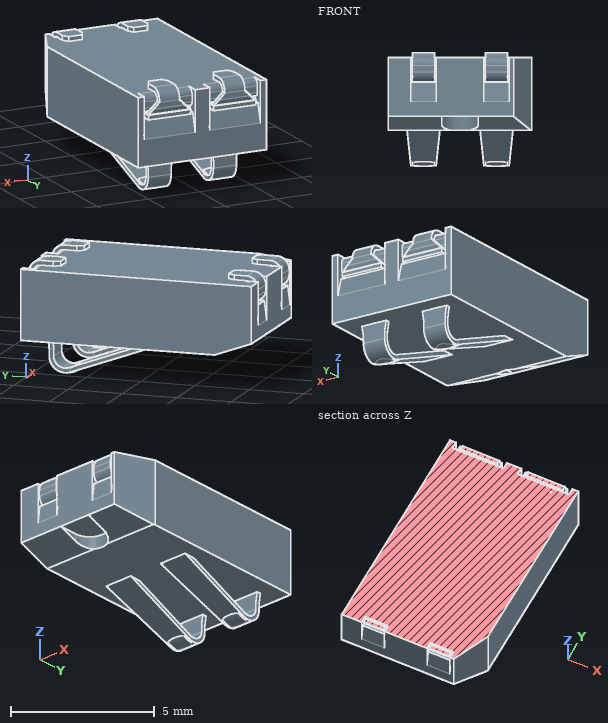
import cadquery as cq
import math

WIDTH = 5.0
LENGTH = 8.48
HEIGHT = 2.54
CORNER_X = 0.64
CORNER_Y = 1.41
LEAD_IN_Y = 1.35
LEAD_IN_Z = 0.49
POLE_OFFSET = 1.27

NOTCH_RADIUS = 0.645
NOTCH_CENTRE_Y = 0.78

SHEET = 0.17
TAB_WIDTH = 0.78
TAB_TIP_WIDTH = 0.53
TAB_LENGTH = 1.15
TAB_TAPER = 0.24
TAB_SETBACK = 0.02
UPPER_BEND = 0.44
LOWER_BEND = 0.37
TAB_STRAIGHT = 0.22
TAB_ROOT = 0.17
WING_HALF_WIDTH = 0.82

TAB_TOP_Z = HEIGHT + SHEET
UPPER_BEND_Z = TAB_TOP_Z - UPPER_BEND
LOWER_BEND_Z = UPPER_BEND_Z - TAB_STRAIGHT
LOWER_TAB_Z = LOWER_BEND_Z - LOWER_BEND

FRONT_RECESS_WIDTH = 0.88
BACK_RECESS_WIDTH = 1.98
RECESS_BOTTOM_Z = 1.01
FRONT_LEDGE_Y = 0.085
BACK_LEDGE_Y = 0.19
RECESS_WALL_Y = 0.24
RECESS_TOP_ROUND = 0.25
RECESS_LOW_ROUND = 0.17

SPRING_ANGLE = math.radians(20.4)
SPRING_BACK_Y = 7.7
SPRING_BEND = 0.585
SPRING_BEND_Z = -0.645
SPRING_BEND_Y = SPRING_BACK_Y - SPRING_BEND
SPRING_ROOT_Z = 0.085
SPRING_HALF_WIDTH = 0.45
SPRING_WIDE_HALF = 0.585
LEG_WIDE_HALF = 0.51
LEG_TAPER_Z = -0.38

CROWN_SAG = 0.025
CROWN_HALF_WIDTH = 0.38
CROWN_SHIFT = 0.07
CROWN_FRONT_ANGLE = 50
CROWN_BACK_ANGLE = 40


def yz_plane():
    """Mid plane facing +X whose local axes are Y and Z."""
    return cq.Workplane("YZ")


def extrude_across(profile, half_width):
    """Extrude a Y-Z profile both ways along X."""
    return profile.extrude(half_width, both=True)


def flip_to_back(shape):
    """Mirror a front-end shape to the back end."""
    return shape.mirror("XZ", (0, LENGTH / 2, 0))


def at_poles(shape):
    """Copies of a centred shape at both contacts."""
    return [shape.translate((x, 0, 0)) for x in (-POLE_OFFSET, POLE_OFFSET)]


def make_housing():
    side = yz_plane().polyline([
        (LEAD_IN_Y, 0), (LENGTH, 0), (LENGTH, HEIGHT), (0, HEIGHT), (0, LEAD_IN_Z),
    ]).close()
    corner = cq.Workplane("XY").polyline([
        (WIDTH / 2 - CORNER_X, 0), (WIDTH / 2, 0), (WIDTH / 2, CORNER_Y),
    ]).close().extrude(HEIGHT)
    notch = (
        cq.Workplane("XY")
        .moveTo(-NOTCH_RADIUS, 0)
        .lineTo(NOTCH_RADIUS, 0)
        .lineTo(NOTCH_RADIUS, NOTCH_CENTRE_Y)
        .threePointArc((0, NOTCH_CENTRE_Y + NOTCH_RADIUS), (-NOTCH_RADIUS, NOTCH_CENTRE_Y))
        .close()
        .extrude(LEAD_IN_Z)
    )
    return extrude_across(side, WIDTH / 2).cut(corner).cut(notch)


def make_recess(width, ledge_y):
    """Front-end recess: sloped bottom, curled pocket, then a wall rounded over into the top."""
    pocket_y = RECESS_WALL_Y + RECESS_LOW_ROUND
    pocket_z = LOWER_BEND_Z - RECESS_LOW_ROUND
    pocket_radius = pocket_z - LOWER_TAB_Z
    profile = (
        yz_plane()
        .moveTo(0, RECESS_BOTTOM_Z)
        .lineTo(ledge_y, LOWER_TAB_Z)
        .lineTo(pocket_y - pocket_radius, LOWER_TAB_Z)
        .radiusArc((pocket_y, pocket_z), -pocket_radius)
        .radiusArc((RECESS_WALL_Y, LOWER_BEND_Z), RECESS_LOW_ROUND)
        .lineTo(RECESS_WALL_Y, HEIGHT - RECESS_TOP_ROUND)
        .radiusArc((RECESS_WALL_Y + RECESS_TOP_ROUND, HEIGHT), RECESS_TOP_ROUND)
        .lineTo(0, HEIGHT)
        .close()
    )
    return extrude_across(profile, width / 2)


def make_tab_sheet():
    """Bent sheet of a front tab, as wide as the wings."""
    upper_y = TAB_SETBACK + UPPER_BEND
    lower_y = TAB_SETBACK + LOWER_BEND
    inner_y = TAB_SETBACK + SHEET
    root_y = lower_y + TAB_ROOT
    profile = (
        yz_plane()
        .moveTo(TAB_LENGTH, TAB_TOP_Z)
        .lineTo(upper_y, TAB_TOP_Z)
        .radiusArc((TAB_SETBACK, UPPER_BEND_Z), -UPPER_BEND)
        .lineTo(TAB_SETBACK, LOWER_BEND_Z)
        .radiusArc((lower_y, LOWER_TAB_Z), -LOWER_BEND)
        .lineTo(root_y, LOWER_TAB_Z)
        .lineTo(root_y, LOWER_TAB_Z + SHEET)
        .lineTo(lower_y, LOWER_TAB_Z + SHEET)
        .radiusArc((inner_y, LOWER_BEND_Z), LOWER_BEND - SHEET)
        .lineTo(inner_y, UPPER_BEND_Z)
        .radiusArc((upper_y, HEIGHT), UPPER_BEND - SHEET)
        .lineTo(TAB_LENGTH, HEIGHT)
        .close()
    )
    return extrude_across(profile, WING_HALF_WIDTH)


def make_tab(winged):
    """Front tab with a tapered tip; a winged tab widens at 45 degrees down to a flat shoulder."""
    half, tip = TAB_WIDTH / 2, TAB_TIP_WIDTH / 2
    taper_y = TAB_LENGTH - TAB_TAPER
    plan = cq.Workplane("XY").polyline([
        (-half, 0), (half, 0), (half, taper_y), (tip, TAB_LENGTH), (-tip, TAB_LENGTH), (-half, taper_y),
    ]).close().extrude(TAB_TOP_Z)
    sheet = make_tab_sheet()
    tab = sheet.intersect(plan)
    if winged:
        wing_z = UPPER_BEND_Z - (WING_HALF_WIDTH - half)
        wings = cq.Workplane("XZ").polyline([
            (-half, UPPER_BEND_Z), (half, UPPER_BEND_Z),
            (WING_HALF_WIDTH, wing_z), (WING_HALF_WIDTH, LOWER_TAB_Z),
            (-WING_HALF_WIDTH, LOWER_TAB_Z), (-WING_HALF_WIDTH, wing_z),
        ]).close().extrude(-TAB_LENGTH)
        shoulder = cq.Workplane("XY").box(
            2 * WING_HALF_WIDTH, LOWER_BEND + TAB_ROOT, SHEET, centered=(True, False, False)
        ).translate((0, TAB_SETBACK, LOWER_TAB_Z))
        tab = tab.union(sheet.intersect(wings)).union(shoulder)
    return tab


def bend_point(radius, angle):
    """Point round the spring bend axis; angle is from straight down towards the front."""
    return (SPRING_BEND_Y - radius * math.sin(angle), SPRING_BEND_Z - radius * math.cos(angle))


def arm_y(radius, z):
    """Y at height z on the sloping arm face that leaves the bend at this radius."""
    tangent_y, tangent_z = bend_point(radius, SPRING_ANGLE)
    return tangent_y - (z - tangent_z) / math.tan(SPRING_ANGLE)


def make_crown(face_radius):
    """Band whose barrelled outer face rises out of a bend of the given radius."""
    base = face_radius - SHEET / 2
    profile = (
        cq.Workplane("XY")
        .moveTo(-CROWN_HALF_WIDTH, -base)
        .lineTo(-CROWN_HALF_WIDTH, -face_radius)
        .threePointArc((0, -face_radius - CROWN_SAG), (CROWN_HALF_WIDTH, -face_radius))
        .lineTo(CROWN_HALF_WIDTH, -base)
        .close()
    )
    band = profile.revolve(CROWN_FRONT_ANGLE + CROWN_BACK_ANGLE, (0, 0, 0), (1, 0, 0))
    band = band.rotate((0, 0, 0), (1, 0, 0), 90 - CROWN_FRONT_ANGLE)
    return band.translate((0, SPRING_BEND_Y - CROWN_SHIFT, SPRING_BEND_Z))


def make_spring():
    inner = SPRING_BEND - SHEET
    mid_angle = (SPRING_ANGLE - math.pi / 2) / 2
    profile = (
        yz_plane()
        .moveTo(SPRING_BACK_Y, SPRING_ROOT_Z)
        .lineTo(SPRING_BACK_Y, SPRING_BEND_Z)
        .threePointArc(bend_point(SPRING_BEND, mid_angle), bend_point(SPRING_BEND, SPRING_ANGLE))
        .lineTo(arm_y(SPRING_BEND, SPRING_ROOT_Z), SPRING_ROOT_Z)
        .lineTo(arm_y(inner, SPRING_ROOT_Z), SPRING_ROOT_Z)
        .lineTo(*bend_point(inner, SPRING_ANGLE))
        .threePointArc(bend_point(inner, mid_angle), (SPRING_BACK_Y - SHEET, SPRING_BEND_Z))
        .lineTo(SPRING_BACK_Y - SHEET, SPRING_ROOT_Z)
        .close()
    )
    sheet = extrude_across(profile, SPRING_WIDE_HALF)

    arm_front_y = arm_y(SPRING_BEND, SPRING_ROOT_Z)
    arm_end_y = bend_point(SPRING_BEND, SPRING_ANGLE)[0]
    plan = cq.Workplane("XY", origin=(0, 0, SPRING_BEND_Z - SPRING_BEND)).polyline([
        (-SPRING_WIDE_HALF, arm_front_y), (SPRING_WIDE_HALF, arm_front_y),
        (SPRING_HALF_WIDTH, arm_end_y), (LEG_WIDE_HALF, arm_end_y), (LEG_WIDE_HALF, SPRING_BACK_Y),
        (-LEG_WIDE_HALF, SPRING_BACK_Y), (-LEG_WIDE_HALF, arm_end_y), (-SPRING_HALF_WIDTH, arm_end_y),
    ]).close().extrude(SPRING_BEND - SPRING_BEND_Z + SPRING_ROOT_Z)

    trim = cq.Workplane("XZ", origin=(0, arm_end_y, 0)).polyline([
        (SPRING_HALF_WIDTH, SPRING_BEND_Z - SPRING_BEND), (SPRING_HALF_WIDTH, LEG_TAPER_Z),
        (LEG_WIDE_HALF, 0), (LEG_WIDE_HALF, SPRING_BEND_Z - SPRING_BEND),
    ]).close().extrude(arm_end_y - SPRING_BACK_Y)
    spring = sheet.intersect(plan).cut(trim).cut(trim.mirror("YZ"))
    return spring.union(make_crown(SPRING_BEND)).cut(make_crown(inner))


front_recess = make_recess(FRONT_RECESS_WIDTH, FRONT_LEDGE_Y)
back_recess = flip_to_back(make_recess(BACK_RECESS_WIDTH, BACK_LEDGE_Y))
front_tab = make_tab(winged=False)
back_tab = flip_to_back(make_tab(winged=True))

result = make_housing()
for recess in at_poles(front_recess) + at_poles(back_recess):
    result = result.cut(recess)
for contact_part in at_poles(front_tab) + at_poles(back_tab) + at_poles(make_spring()):
    result = result.union(contact_part)